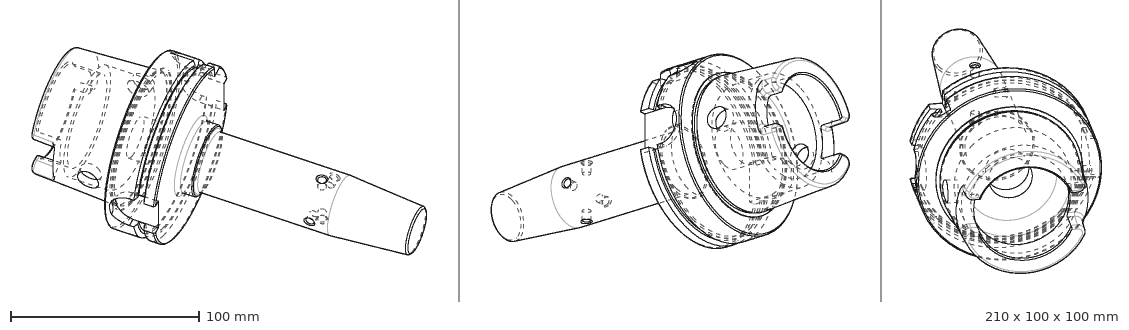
import cadquery as cq
import math

TOTAL_LENGTH = 210.0
OVERLAP = 2.0
TOLERANCE = 0.02

SHANK_LENGTH = 50.0
TAPER_SLOPE = 1 / 20
SHANK_END_RADIUS = 35.5
SHANK_EDGE_FILLET = 1.7
BORE_RADIUS = 26.5
BORE_MOUTH_CHAMFER = 0.8
BORE_DEPTH = 46.6
LIP_END = 18.7
RECESS_RADIUS = 31.5
FLOOR_FILLET = 6.5
CENTRE_HOLE_RADIUS = 11.8
CENTRE_HOLE_DEPTH = 10.5
NECK_WIDTH = 1.7
NECK_DEPTH = 0.6
RELIEF_RADIUS = 39.7
RELIEF_DEPTH = 0.6

DRIVE_HALF_WIDTH = 9.7
DRIVE_CORNER_RADIUS = 4.2
DRIVE_FLOOR_FILLET = 1.7
DRIVE_SLOTS = ((-1, 14.5), (1, 9.7))

CROSS_HOLE_X = 35.3
CROSS_HOLE_RADIUS = 6.0
CROSS_HOLE_LEAN = 8.0

FLANGE_RADIUS = 50.0
FLANGE_END = 79.0
FLANGE_CHAMFER = 0.8
GROOVE_CENTRE = 69.7
GROOVE_FLOOR_RADIUS = 45.8
GROOVE_FLOOR_WIDTH = 3.8
GROOVE_BEVEL_WIDTH = 1.0
GROOVE_BEVEL_DEPTH = 2.7

KEY_END_CENTRE = 64.3
KEY_RADIUS = 11.1
KEY_FLOOR = 44.0
KEY_END_LEAN = 14.0
NOTCH_FLOOR = 31.0
NOTCH_WALL = 31.5

HUB_RADIUS = 20.2
HUB_END = 88.6
HUB_FILLET = 2.5
HUB_CHAMFER = 0.6
SHAFT_RADIUS = 17.0
SHAFT_FILLET = 1.5
NOSE_START = 165.3
NOSE_RADIUS = 13.6
NOSE_CHAMFER = 1.0

SCREW_HOLE_X = 154.8
SCREW_HOLE_RADIUS = 2.3
SCREW_HOLE_DEPTH = 6.3
SCREW_TIP_ANGLE = 30.0
SCREW_COUNTERSINK_RADIUS = 3.2
SCREW_HOLE_COUNT = 4


def taper_radius(x):
    """Outside radius of the tapered shank at position x."""
    return SHANK_END_RADIUS + TAPER_SLOPE * x


def turned_body():
    """Solid of revolution from the shank end to the tip of the shaft."""
    neck_start = SHANK_LENGTH - NECK_WIDTH
    neck_radius = taper_radius(neck_start) - NECK_DEPTH
    relief_floor = SHANK_LENGTH + RELIEF_DEPTH
    floor_start = GROOVE_CENTRE - GROOVE_FLOOR_WIDTH / 2
    floor_end = GROOVE_CENTRE + GROOVE_FLOOR_WIDTH / 2
    bevel_radius = FLANGE_RADIUS - GROOVE_BEVEL_DEPTH
    profile = (
        cq.Workplane("XY")
        .moveTo(0, 0)
        .lineTo(0, SHANK_END_RADIUS)
        .lineTo(neck_start, taper_radius(neck_start))
        .lineTo(neck_start + NECK_DEPTH, neck_radius)
        .lineTo(relief_floor, neck_radius)
        .lineTo(relief_floor, RELIEF_RADIUS)
        .lineTo(SHANK_LENGTH, RELIEF_RADIUS)
        .lineTo(SHANK_LENGTH, FLANGE_RADIUS - FLANGE_CHAMFER)
        .lineTo(SHANK_LENGTH + FLANGE_CHAMFER, FLANGE_RADIUS)
        .lineTo(floor_start - GROOVE_BEVEL_WIDTH, FLANGE_RADIUS)
        .lineTo(floor_start, bevel_radius)
        .lineTo(floor_start, GROOVE_FLOOR_RADIUS)
        .lineTo(floor_end, GROOVE_FLOOR_RADIUS)
        .lineTo(floor_end, bevel_radius)
        .lineTo(floor_end + GROOVE_BEVEL_WIDTH, FLANGE_RADIUS)
        .lineTo(FLANGE_END - FLANGE_CHAMFER, FLANGE_RADIUS)
        .lineTo(FLANGE_END, FLANGE_RADIUS - FLANGE_CHAMFER)
        .lineTo(FLANGE_END, HUB_RADIUS + HUB_FILLET)
        .radiusArc((FLANGE_END + HUB_FILLET, HUB_RADIUS), -HUB_FILLET)
        .lineTo(HUB_END - HUB_CHAMFER, HUB_RADIUS)
        .lineTo(HUB_END, HUB_RADIUS - HUB_CHAMFER)
        .lineTo(HUB_END, SHAFT_RADIUS + SHAFT_FILLET)
        .radiusArc((HUB_END + SHAFT_FILLET, SHAFT_RADIUS), -SHAFT_FILLET)
        .lineTo(NOSE_START, SHAFT_RADIUS)
        .lineTo(TOTAL_LENGTH - NOSE_CHAMFER, NOSE_RADIUS)
        .lineTo(TOTAL_LENGTH, NOSE_RADIUS - NOSE_CHAMFER)
        .lineTo(TOTAL_LENGTH, 0)
        .close()
    )
    return profile.revolve(360, (0, 0, 0), (1, 0, 0))


def cut_drive_slots(body):
    """Cut a slot of its own depth through the shank wall on each side."""
    for side, depth in DRIVE_SLOTS:
        slot = (
            cq.Workplane("YZ", origin=(-OVERLAP, 0, 0))
            .center(side * FLANGE_RADIUS / 2, 0)
            .rect(FLANGE_RADIUS, 2 * DRIVE_HALF_WIDTH)
            .extrude(depth + OVERLAP)
        )
        body = body.cut(slot)
    return body


def bore():
    """Hollow of the shank: a lip at the mouth, then a wider clamping recess with a filleted floor."""
    hole_end = BORE_DEPTH + CENTRE_HOLE_DEPTH
    profile = (
        cq.Workplane("XY")
        .moveTo(0, 0)
        .lineTo(0, BORE_RADIUS + BORE_MOUTH_CHAMFER)
        .lineTo(BORE_MOUTH_CHAMFER, BORE_RADIUS)
        .lineTo(LIP_END, BORE_RADIUS)
        .lineTo(LIP_END, RECESS_RADIUS)
        .lineTo(BORE_DEPTH - FLOOR_FILLET, RECESS_RADIUS)
        .radiusArc((BORE_DEPTH, RECESS_RADIUS - FLOOR_FILLET), FLOOR_FILLET)
        .lineTo(BORE_DEPTH, CENTRE_HOLE_RADIUS)
        .lineTo(hole_end, CENTRE_HOLE_RADIUS)
        .lineTo(hole_end, 0)
        .close()
    )
    return profile.revolve(360, (0, 0, 0), (1, 0, 0))


def cross_hole(side):
    """Hole through one shank wall, leaning toward the open end on its way in."""
    lean = math.tan(math.radians(CROSS_HOLE_LEAN))
    start = cq.Vector(CROSS_HOLE_X, side * taper_radius(CROSS_HOLE_X), 0)
    inward = cq.Vector(-lean, -side, 0)
    start = start - inward * OVERLAP
    return cq.Workplane(cq.Solid.makeCylinder(CROSS_HOLE_RADIUS, BORE_RADIUS, start, inward))


def round_ended_slot(floor_y, centre_z, end_lean):
    """Slot of key width, open at +X and +Y, with its floor facing +Y.

    The end wall leans toward +X by end_lean degrees on its way down to the floor.
    """
    mouth_y = FLANGE_RADIUS + OVERLAP
    height = mouth_y - floor_y
    length = FLANGE_END + OVERLAP - KEY_END_CENTRE
    straight = cq.Workplane("XY").box(length, height, 2 * KEY_RADIUS)
    straight = straight.translate((KEY_END_CENTRE + length / 2, floor_y + height / 2, centre_z))

    lean = math.tan(math.radians(end_lean))
    axis_top = cq.Vector(KEY_END_CENTRE - lean * OVERLAP, mouth_y, centre_z)
    axis = cq.Vector(lean, -1, 0)
    end = cq.Workplane(cq.Solid.makeCylinder(KEY_RADIUS, FLANGE_RADIUS, axis_top, axis))
    above_floor = cq.Workplane("XZ", origin=(0, floor_y, 0)).circle(2 * FLANGE_END).extrude(-2 * height)
    return straight.union(end.intersect(above_floor))


def screw_hole():
    """Drilled hole with a conical tip and a countersunk mouth, on the +Z side."""
    sink_depth = SCREW_COUNTERSINK_RADIUS - SCREW_HOLE_RADIUS
    tip_depth = SCREW_HOLE_RADIUS * math.tan(math.radians(SCREW_TIP_ANGLE))
    floor = SHAFT_RADIUS - SCREW_HOLE_DEPTH
    return (
        cq.Workplane("XZ")
        .moveTo(0, floor - tip_depth)
        .lineTo(SCREW_HOLE_RADIUS, floor)
        .lineTo(SCREW_HOLE_RADIUS, SHAFT_RADIUS - sink_depth)
        .lineTo(SCREW_COUNTERSINK_RADIUS, SHAFT_RADIUS)
        .lineTo(SCREW_COUNTERSINK_RADIUS, SHAFT_RADIUS + OVERLAP)
        .lineTo(0, SHAFT_RADIUS + OVERLAP)
        .close()
        .revolve(360, (0, 0, 0), (0, 1, 0))
        .translate((SCREW_HOLE_X, 0, 0))
    )


def round_drive_corners(body):
    """Round the edges where the drive slot walls meet the outside of the taper."""
    corners = body.edges("not(%CIRCLE or %LINE)").filter(
        lambda edge: edge.Center().x < SHANK_LENGTH / 2
        and abs(edge.Center().y) > BORE_RADIUS
        and abs(abs(edge.Center().z) - DRIVE_HALF_WIDTH) < TOLERANCE
    )
    return corners.fillet(DRIVE_CORNER_RADIUS)


def round_open_end(body):
    """Fillet the open end's outline, leaving the bore mouth sharp."""
    mouth_radius = BORE_RADIUS + BORE_MOUTH_CHAMFER
    outline = body.faces("<X").edges().filter(
        lambda edge: edge.geomType() != "CIRCLE" or abs(edge.radius() - mouth_radius) > TOLERANCE
    )
    return outline.fillet(SHANK_EDGE_FILLET)


def round_drive_floors(body):
    """Fillet the foot of the drive slot walls; each fillet carries on round the corners."""
    for _, depth in DRIVE_SLOTS:
        wall_feet = body.edges("%LINE").filter(
            lambda edge: abs(edge.Center().x - depth) < TOLERANCE
        )
        body = wall_feet.fillet(DRIVE_FLOOR_FILLET)
    return body


result = cut_drive_slots(turned_body()).cut(bore())
result = round_drive_corners(result)
result = round_open_end(result)
result = round_drive_floors(result)

for side in (-1, 1):
    result = result.cut(cross_hole(side))

key_slot = round_ended_slot(KEY_FLOOR, 0, KEY_END_LEAN)
result = result.cut(key_slot).cut(key_slot.mirror("XZ"))
result = result.cut(round_ended_slot(NOTCH_FLOOR, NOTCH_WALL + KEY_RADIUS, 0))

for index in range(SCREW_HOLE_COUNT):
    angle = 360 / SCREW_HOLE_COUNT * index
    result = result.cut(screw_hole().rotate((0, 0, 0), (1, 0, 0), angle))